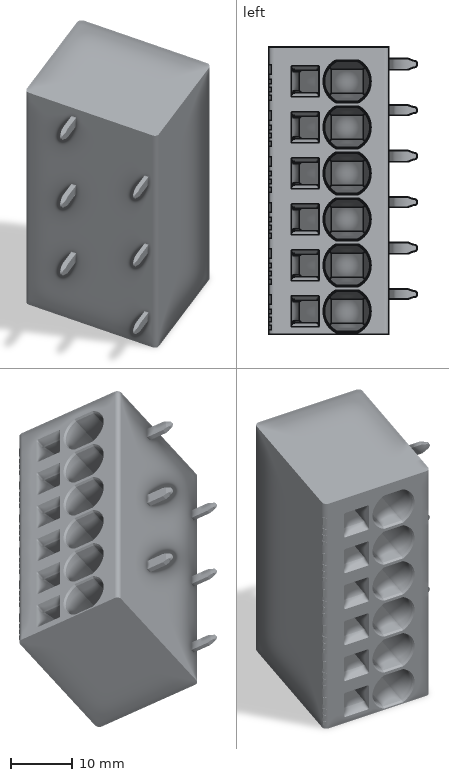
import cadquery as cq

width = 24.15
total_depth = 24.2
height = 46.8

pin_length = 4.65
depth = total_depth - pin_length
front_corner_radius = 0.75
back_corner_radius = 0.85
left_x = -width / 2
front_y = -depth / 2
back_y = depth / 2

pole_count = 6
pitch = 7.5
end_plate = height - pole_count * pitch

wire_y = back_y - 12.78
wire_radius = 3.7
wire_flat_height = 6.55
wire_chamfer_width = 0.2
wire_chamfer_depth = 0.37
wire_straight_depth = 7.5
wire_depth = 9.85
wire_floor_width = 5.2
wire_floor_height = 3.95

mouth_center_y = back_y - 5.95
mouth_width = 4.55
mouth_height = 5.05
mouth_corner_radius = 0.25
mouth_depth = 1.25
mouth_front_inset = 0.05
throat_height = 3.95
lip_depth = 0.2
ramp_slope = 0.22
ramp_corner = 0.3
well_height = 3.65
well_depth = 6.1

rib_chamfer = 0.4
ribs = [(1.05, 1.6), (3.35, 0.75), (4.7, 0.75), (6.05, 0.75)]

pin_drop = 0.95
pin_rows = [(-3.1, 0.85, 1.85), (10.2, 0.7, 1.7)]
pin_taper_start = 3.1
pin_shoulder = 4.02
pin_shoulder_ratio = 0.6
pin_side_taper_start = 3.65
pin_tip_ratio = 0.4


def pole_top(index):
    return height / 2 - end_plate - index * pitch


def left_wall(inset, y, z):
    """Plane parallel to the left wall, facing into the housing: local x is -Y, local y is Z."""
    return cq.Workplane(cq.Plane((left_x + inset, y, z), (0, -1, 0), (1, 0, 0)))


def flatted_bore(length, z):
    disc = left_wall(0, wire_y, z).circle(wire_radius).extrude(length)
    slab = left_wall(0, wire_y, z).rect(2 * wire_radius, wire_flat_height).extrude(length)
    return disc.intersect(slab)


def bore_rim(z):
    """Chamfer at the mouth of the bore: a cone limited by a wedge above and below."""
    outer_radius = wire_radius + wire_chamfer_width
    cone = (
        left_wall(0, wire_y, z)
        .circle(outer_radius)
        .workplane(offset=wire_chamfer_depth)
        .circle(wire_radius)
        .loft(ruled=True)
    )
    wedge = (
        left_wall(0, wire_y, z)
        .rect(2 * outer_radius, wire_flat_height + 2 * wire_chamfer_width)
        .workplane(offset=wire_chamfer_depth)
        .rect(2 * outer_radius, wire_flat_height)
        .loft(ruled=True)
    )
    return cone.intersect(wedge)


def wire_entry(z):
    funnel = (
        left_wall(wire_straight_depth, wire_y, z)
        .rect(2 * wire_radius, wire_flat_height)
        .workplane(offset=wire_depth - wire_straight_depth)
        .rect(wire_floor_width, wire_floor_height)
        .loft(ruled=True)
        .intersect(flatted_bore(wire_depth, z))
    )
    return flatted_bore(wire_straight_depth, z).union(bore_rim(z)).union(funnel)


def release_opening(z):
    mouth_back_y = mouth_center_y + mouth_width / 2
    throat_back_y = mouth_back_y - ramp_slope * mouth_depth
    throat_front_y = mouth_center_y - mouth_width / 2 + mouth_front_inset
    throat_shift = mouth_center_y - (throat_back_y + throat_front_y) / 2
    mouth = (
        left_wall(0, mouth_center_y, z)
        .rect(mouth_width, mouth_height)
        .workplane(offset=mouth_depth)
        .center(throat_shift, 0)
        .rect(throat_back_y - throat_front_y, throat_height)
        .loft(ruled=True)
        .edges("not(|Y or |Z)")
        .fillet(mouth_corner_radius)
    )
    lip = (
        left_wall(mouth_depth, (throat_back_y + throat_front_y) / 2, z)
        .rect(throat_back_y - throat_front_y, throat_height)
        .workplane(offset=lip_depth)
        .center(ramp_slope * lip_depth / 2, 0)
        .rect(throat_back_y - throat_front_y - ramp_slope * lip_depth, well_height)
        .loft(ruled=True)
    )
    well = (
        cq.Workplane("XY", origin=(left_x, 0, z))
        .moveTo(mouth_depth, throat_front_y)
        .lineTo(well_depth, throat_front_y)
        .lineTo(well_depth, mouth_back_y - ramp_slope * well_depth)
        .lineTo(mouth_depth, throat_back_y)
        .close()
        .extrude(well_height / 2, both=True)
        .faces(">Y")
        .edges("#Z and (not |Z)")
        .chamfer(ramp_corner)
    )
    return mouth.union(lip).union(well)


def marker_rib(z_top, rib_height):
    return (
        cq.Workplane("XY", origin=(left_x, back_y, z_top - rib_height))
        .moveTo(0, -rib_chamfer)
        .lineTo(rib_chamfer, 0)
        .lineTo(back_corner_radius, 0)
        .lineTo(back_corner_radius, -rib_chamfer)
        .close()
        .extrude(rib_height)
    )


def solder_pin(x, thickness, pin_height, z):
    """Flat pin along -Y: rounded tip seen from the side, tapered tip seen from above."""
    half_z = pin_height / 2
    shoulder_z = half_z * pin_shoulder_ratio
    side = (
        cq.Workplane("YZ", origin=(x, front_y, z))
        .moveTo(0, half_z)
        .lineTo(-pin_taper_start, half_z)
        .lineTo(-pin_shoulder, shoulder_z)
        .threePointArc((-pin_length, 0), (-pin_shoulder, -shoulder_z))
        .lineTo(-pin_taper_start, -half_z)
        .lineTo(0, -half_z)
        .close()
        .extrude(thickness / 2, both=True)
    )
    half_x = thickness / 2
    tip_x = half_x * pin_tip_ratio
    plan = (
        cq.Workplane("XY", origin=(x, front_y, z))
        .moveTo(half_x, 0)
        .lineTo(half_x, -pin_side_taper_start)
        .lineTo(tip_x, -pin_length)
        .lineTo(-tip_x, -pin_length)
        .lineTo(-half_x, -pin_side_taper_start)
        .lineTo(-half_x, 0)
        .close()
        .extrude(half_z, both=True)
    )
    return side.intersect(plan)


result = cq.Workplane("XY").box(width, depth, height)
result = result.edges("|Z and <Y").fillet(front_corner_radius)
result = result.edges("|Z and >Y").fillet(back_corner_radius)
for index in range(pole_count):
    top = pole_top(index)
    center = top - pitch / 2
    for drop, rib_height in ribs:
        result = result.union(marker_rib(top - drop, rib_height))
    result = result.cut(wire_entry(center))
    result = result.cut(release_opening(center))
    pin_x, pin_thickness, pin_height = pin_rows[index % 2]
    result = result.union(solder_pin(pin_x, pin_thickness, pin_height, top - pin_drop))